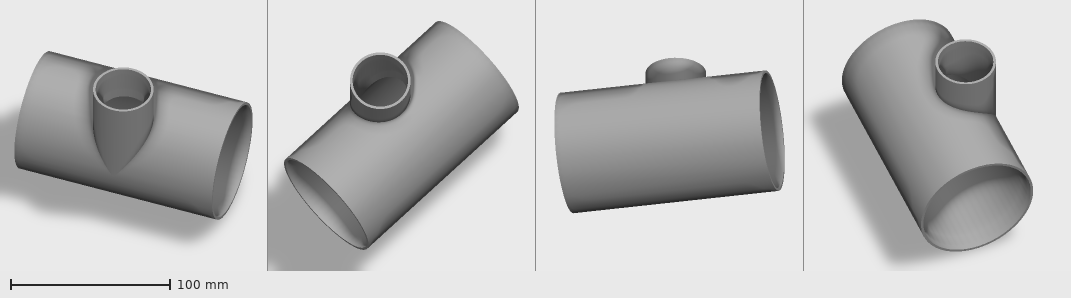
import cadquery as cq

main_length = 131.8
main_outer_diameter = 76.2
main_inner_diameter = 72.9

branch_outer_diameter = 38.1
branch_inner_diameter = 34.8
overall_height = 99.2
branch_top = overall_height - main_outer_diameter / 2
branch_offset = -(main_outer_diameter - branch_outer_diameter) / 2


def main_cylinder(diameter):
    """Cylinder along X, centred on the origin."""
    return cq.Workplane("YZ").circle(diameter / 2).extrude(main_length / 2, both=True)


def branch_cylinder(diameter):
    """Cylinder along the branch axis, from the main axis level to the branch top."""
    return cq.Workplane("XY").center(0, branch_offset).circle(diameter / 2).extrude(branch_top)


outside = main_cylinder(main_outer_diameter).union(branch_cylinder(branch_outer_diameter))
result = outside.cut(main_cylinder(main_inner_diameter)).cut(branch_cylinder(branch_inner_diameter))